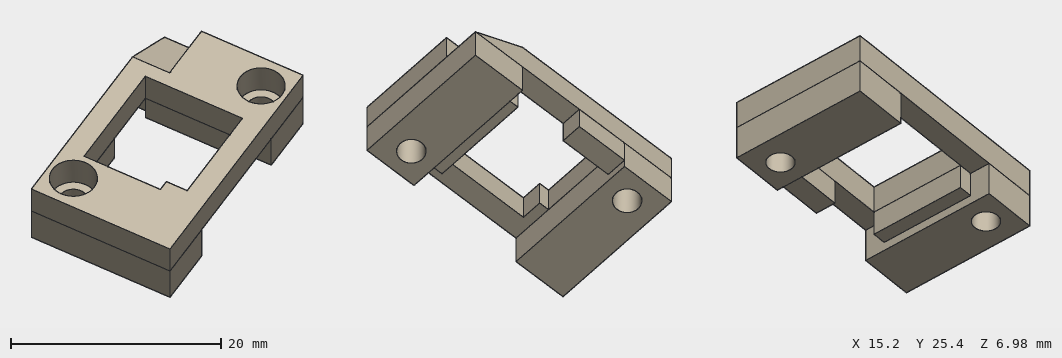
import cadquery as cq

WIDTH = 15.25
LENGTH = 25.4
HEIGHT = 6.98
PLATE_BOTTOM = 3.8
PLATE_THICKNESS = HEIGHT - PLATE_BOTTOM

FOOT_LENGTH = 6.1
REAR_FOOT_Y = LENGTH - FOOT_LENGTH

RAIL_WIDTH = 2.29
WINDOW_RIGHT = WIDTH - RAIL_WIDTH
WINDOW_FRONT = FOOT_LENGTH
WINDOW_REAR = 17.78
STEP_WIDTH = 2.29
STEP_LENGTH = 1.15

RAMP_WIDTH = 4.06

SCREW_DIAMETER = 2.8
HEAD_DIAMETER = 4.57
SCREW_INSET_X = 2.8
SCREW_INSET_Y = 3.18
FRONT_SCREW = (SCREW_INSET_X, SCREW_INSET_Y)
REAR_SCREW = (WIDTH - SCREW_INSET_X, LENGTH - SCREW_INSET_Y)

BLOCK_BOTTOM = 1.02
BLOCK_HEIGHT = PLATE_BOTTOM - BLOCK_BOTTOM
SIDE_BLOCK_LENGTH = 5.85
REAR_BLOCK_LEFT = RAIL_WIDTH
REAR_BLOCK_WIDTH = WINDOW_RIGHT - RAIL_WIDTH


def corner_box(x, y, z, width, length, height):
    """Box whose lowest left front corner is at (x, y, z)."""
    return cq.Workplane("XY").box(width, length, height, centered=False).translate((x, y, z))


def vertical_hole(center, diameter):
    """Cylinder through the full height, used as a cutter."""
    return cq.Workplane("XY").center(*center).circle(diameter / 2).extrude(HEIGHT)


def make_window():
    step_left = WINDOW_RIGHT - STEP_WIDTH
    step_rear = WINDOW_FRONT + STEP_LENGTH
    return (
        cq.Workplane("XY")
        .workplane(offset=PLATE_BOTTOM)
        .moveTo(RAIL_WIDTH, WINDOW_FRONT)
        .lineTo(step_left, WINDOW_FRONT)
        .lineTo(step_left, step_rear)
        .lineTo(WINDOW_RIGHT, step_rear)
        .lineTo(WINDOW_RIGHT, WINDOW_REAR)
        .lineTo(RAIL_WIDTH, WINDOW_REAR)
        .close()
        .extrude(PLATE_THICKNESS)
    )


def make_ramp_cut():
    """Wedge that slopes the corner down to the bottom of the plate at the rear."""
    return (
        cq.Workplane("YZ")
        .moveTo(REAR_FOOT_Y, HEIGHT)
        .lineTo(LENGTH, HEIGHT)
        .lineTo(LENGTH, PLATE_BOTTOM)
        .close()
        .extrude(RAMP_WIDTH)
    )


def make_plate():
    plate = corner_box(0, 0, PLATE_BOTTOM, WIDTH, LENGTH, PLATE_THICKNESS)
    plate = plate.cut(make_window()).cut(make_ramp_cut())
    for center in (FRONT_SCREW, REAR_SCREW):
        plate = plate.cut(vertical_hole(center, HEAD_DIAMETER))
    return plate


def make_foot(front_y, screw):
    foot = corner_box(0, front_y, 0, WIDTH, FOOT_LENGTH, PLATE_BOTTOM)
    return foot.cut(vertical_hole(screw, SCREW_DIAMETER))


def make_side_block():
    """Block under the left rail, behind the front foot."""
    return corner_box(0, FOOT_LENGTH, BLOCK_BOTTOM, RAIL_WIDTH, SIDE_BLOCK_LENGTH, BLOCK_HEIGHT)


def make_rear_block():
    """Block in front of the rear foot, flush with the rear wall of the window."""
    length = REAR_FOOT_Y - WINDOW_REAR
    return corner_box(REAR_BLOCK_LEFT, WINDOW_REAR, BLOCK_BOTTOM, REAR_BLOCK_WIDTH, length, BLOCK_HEIGHT)


plate = make_plate()
feet = [
    make_foot(front_y, screw)
    for front_y, screw in ((0, FRONT_SCREW), (REAR_FOOT_Y, REAR_SCREW))
]
side_block = make_side_block()
rear_block = make_rear_block()

result = cq.Compound.makeCompound(
    [plate.val(), *[foot.val() for foot in feet], side_block.val(), rear_block.val()]
)